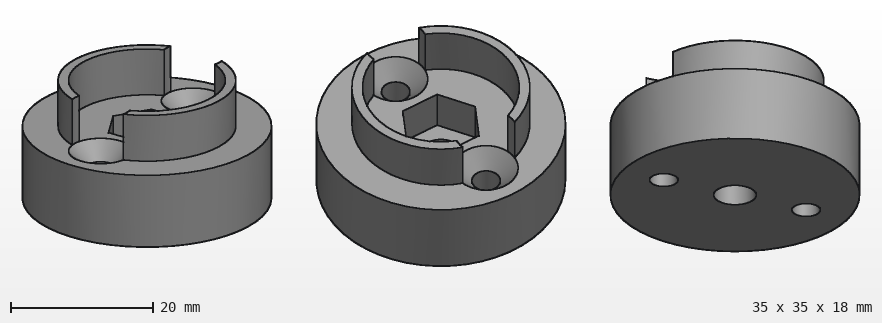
import cadquery as cq

base_diameter = 35.0
base_height = 11.0

collar_outer_diameter = 25.0
collar_inner_diameter = 22.0
collar_height = 7.0

bore_diameter = 6.0
hex_across_corners = 11.8
hex_depth = 6.0

screw_offset = collar_inner_diameter / 2
screw_diameter = 4.0
countersink_diameter = 9.0
countersink_angle = 90

screw_positions = [(0, -screw_offset), (0, screw_offset)]


def make_base():
    return cq.Workplane("XY").circle(base_diameter / 2).extrude(base_height)


def make_collar():
    """Ring with round gaps that clear the screw heads."""
    top = cq.Workplane("XY").workplane(offset=base_height)
    ring = (
        top.circle(collar_outer_diameter / 2)
        .circle(collar_inner_diameter / 2)
        .extrude(collar_height)
    )
    gaps = top.pushPoints(screw_positions).circle(countersink_diameter / 2).extrude(collar_height)
    return ring.cut(gaps)


def cut_centre(body):
    top = cq.Workplane("XY").workplane(offset=base_height)
    pocket = top.polygon(6, hex_across_corners).extrude(-hex_depth)
    bore = top.circle(bore_diameter / 2).extrude(-base_height)
    return body.cut(pocket).cut(bore)


def cut_screw_holes(body):
    return (
        body.faces(">Z")
        .workplane(origin=(0, 0, base_height))
        .pushPoints(screw_positions)
        .cskHole(screw_diameter, countersink_diameter, countersink_angle)
    )


base = cut_screw_holes(cut_centre(make_base()))
result = base.union(make_collar())